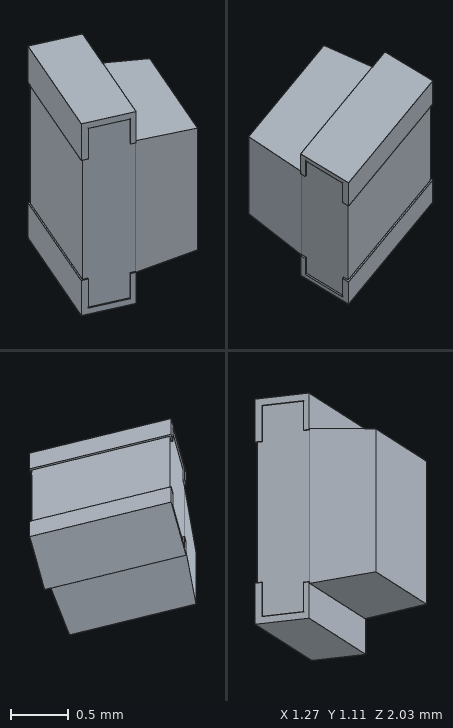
import cadquery as cq
import math


terminal_width = 1.27
terminal_depth = 0.51
part_length = 2.03

terminal_step = 0.015

front_leg_thickness = 0.065
back_leg_thickness = 0.05
end_wall_thickness = 0.065
upper_front_leg_length = 0.388
lower_front_leg_length = 0.373
back_leg_length = 0.33

substrate_width = terminal_width - 2 * terminal_step
substrate_front_y = terminal_step
substrate_back_y = terminal_depth

lens_height = 0.60
lens_base_width = substrate_width
lens_base_length = 1.395
lens_draft_angle = 5.0


def centred_block(width, y_start, y_end, z_start, z_end):
    """Block centred on X that spans the given Y and Z ranges."""
    return cq.Workplane("XY").box(width, y_end - y_start, z_end - z_start).translate(
        (0, (y_start + y_end) / 2, (z_start + z_end) / 2)
    )


def make_substrate():
    half_length = part_length / 2 - end_wall_thickness
    return centred_block(
        substrate_width, substrate_front_y, substrate_back_y, -half_length, half_length
    )


def make_terminal(front_leg_length):
    """C-shaped terminal around the +Z end: front leg, end wall and back leg."""
    end_z = part_length / 2
    wall_z = end_z - end_wall_thickness
    front_leg = centred_block(
        terminal_width, 0, front_leg_thickness, end_z - front_leg_length, end_z
    )
    back_leg = centred_block(
        terminal_width,
        terminal_depth - back_leg_thickness,
        terminal_depth,
        end_z - back_leg_length,
        end_z,
    )
    end_wall = centred_block(terminal_width, 0, terminal_depth, wall_z, end_z)
    return front_leg.union(back_leg).union(end_wall)


def make_lens():
    """Rectangular lens on the back face, drafted inward on all four sides."""
    inset = lens_height * math.tan(math.radians(lens_draft_angle))
    return (
        cq.Workplane("XZ", origin=(0, terminal_depth, 0))
        .rect(lens_base_width, lens_base_length)
        .workplane(offset=-lens_height)
        .rect(lens_base_width - 2 * inset, lens_base_length - 2 * inset)
        .loft(ruled=True)
    )


upper_terminal = make_terminal(upper_front_leg_length)
lower_terminal = make_terminal(lower_front_leg_length).mirror("XY")

result = make_substrate().union(upper_terminal).union(lower_terminal).union(make_lens())